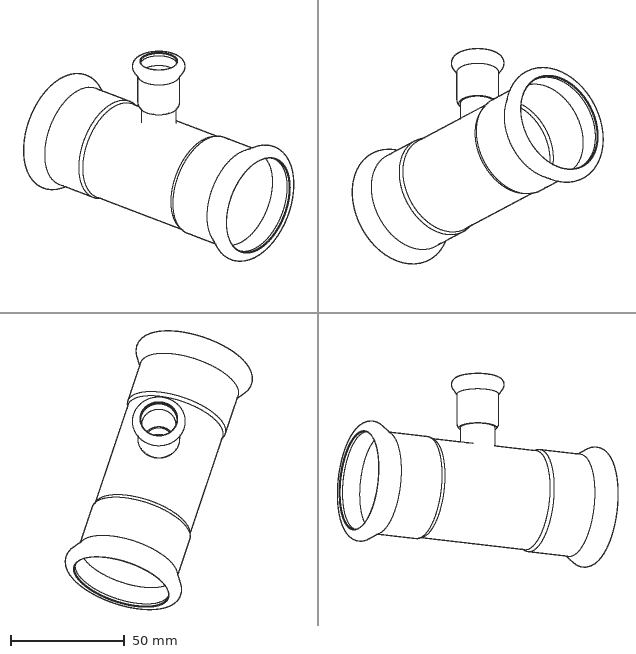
import cadquery as cq
import math

run_length = 114.0
run_radius = 22.0
run_bore_radius = 20.5
run_socket_radius = 22.7
run_socket_bore_radius = 21.1
run_land_radius = 21.3
run_lip_radius = 21.7
run_bead_outer_radius = 26.7
run_bead_section = 3.3
run_cavity_section = 1.8
run_step_start = 25.2
run_step_end = 26.9
run_cone_start = 46.4

branch_top = 52.7
branch_radius = 7.6
branch_bore_radius = 6.3
branch_socket_radius = 9.2
branch_socket_bore_radius = 7.4
branch_land_radius = 7.5
branch_lip_radius = 8.0
branch_bead_outer_radius = 11.6
branch_bead_section = 2.6
branch_cavity_section = 1.1
branch_step_start = 30.3
branch_step_end = 32.6
branch_step_inner_radius = 8.3
branch_step_bore_radius = 6.8
branch_step_rounding = 2.8
branch_cone_start = 45.6

collar_top = 23.7
collar_bore_radius = 6.0
collar_fillet = 0.8

lip_chamfer = 0.3
land_length = 1.0


def polar_point(centre, radius, angle):
    """Point on a circle, as (axial, radial)."""
    return (centre[0] + radius * math.cos(angle), centre[1] + radius * math.sin(angle))


def tangent_angle(start, centre, radius):
    """Angle on a circle where a line from start touches its far upper side."""
    axial = centre[0] - start[0]
    radial = centre[1] - start[1]
    line_angle = math.atan2(radial, axial) + math.asin(radius / math.hypot(axial, radial))
    return line_angle + math.pi / 2


def add_bead_outside(profile, end, cone_foot, bead_outer_radius, bead_section, lip_radius):
    """Continue an (axial, radial) profile up the outer cone, over the bead and onto the lip."""
    centre = (end - bead_section, bead_outer_radius - bead_section)
    touch = tangent_angle(cone_foot, centre, bead_section)
    return (
        profile.lineTo(*cone_foot)
        .lineTo(*polar_point(centre, bead_section, touch))
        .threePointArc(polar_point(centre, bead_section, touch / 2), (end, centre[1]))
        .lineTo(end, lip_radius + lip_chamfer)
        .lineTo(end - lip_chamfer, lip_radius)
    )


def add_bead_cavity(profile, end, cone_foot, bead_outer_radius, bead_section, cavity_section, lip_radius):
    """Continue the profile from the lip around the seal cavity and down the inner cone."""
    centre = (end - bead_section, bead_outer_radius - bead_section)
    mouth = centre[0] + cavity_section
    touch = tangent_angle(cone_foot, centre, cavity_section)
    return (
        profile.lineTo(mouth, lip_radius)
        .lineTo(mouth, centre[1])
        .threePointArc(
            polar_point(centre, cavity_section, touch / 2),
            polar_point(centre, cavity_section, touch),
        )
        .lineTo(*cone_foot)
    )


def make_sockets():
    """Press sockets at both ends of the run, as hollow revolved bodies."""
    end = run_length / 2
    profile = cq.Workplane("XY").moveTo(run_step_start, run_bore_radius).lineTo(run_step_start, run_radius)
    profile = profile.lineTo(run_step_end, run_socket_radius)
    profile = add_bead_outside(
        profile, end, (run_cone_start, run_socket_radius),
        run_bead_outer_radius, run_bead_section, run_lip_radius,
    )
    profile = add_bead_cavity(
        profile, end, (run_cone_start + land_length, run_land_radius),
        run_bead_outer_radius, run_bead_section, run_cavity_section, run_lip_radius,
    )
    profile = profile.lineTo(run_cone_start, run_socket_bore_radius)
    profile = profile.lineTo(run_step_end, run_socket_bore_radius)
    socket = profile.close().revolve(360, (0, 0, 0), (1, 0, 0))
    return socket.union(socket.mirror("YZ"))


def make_branch():
    """Hollow branch above the collar, revolved about X and turned upright."""
    profile = cq.Workplane("XY").moveTo(collar_top, branch_bore_radius).lineTo(collar_top, branch_radius)
    profile = profile.lineTo(branch_step_start, branch_radius)
    profile = profile.lineTo(branch_step_start, branch_step_inner_radius)
    profile = profile.radiusArc((branch_step_end, branch_socket_radius), branch_step_rounding)
    profile = add_bead_outside(
        profile, branch_top, (branch_cone_start, branch_socket_radius),
        branch_bead_outer_radius, branch_bead_section, branch_lip_radius,
    )
    profile = add_bead_cavity(
        profile, branch_top, (branch_cone_start + land_length, branch_land_radius),
        branch_bead_outer_radius, branch_bead_section, branch_cavity_section, branch_lip_radius,
    )
    profile = profile.lineTo(branch_cone_start, branch_socket_bore_radius)
    profile = profile.lineTo(branch_step_end, branch_socket_bore_radius)
    profile = profile.radiusArc((branch_step_start, branch_step_bore_radius), -branch_step_rounding)
    profile = profile.lineTo(branch_step_start, branch_bore_radius)
    branch = profile.close().revolve(360, (0, 0, 0), (1, 0, 0))
    return branch.rotate((0, 0, 0), (0, 1, 0), -90).rotate((0, 0, 0), (0, 0, 1), -90)


def make_body():
    """Middle of the run with the collar blended into it, bored both ways."""
    body = cq.Workplane("YZ").circle(run_radius).extrude(run_step_start, both=True)
    body = body.union(cq.Workplane("XY").circle(branch_radius).extrude(collar_top))
    body = body.edges("not (%CIRCLE or %LINE)").fillet(collar_fillet)
    run_bore = cq.Workplane("YZ").circle(run_bore_radius).extrude(run_step_start, both=True)
    collar_bore = cq.Workplane("XY").circle(collar_bore_radius).extrude(collar_top)
    return body.cut(run_bore).cut(collar_bore)


result = make_body().union(make_sockets()).union(make_branch())